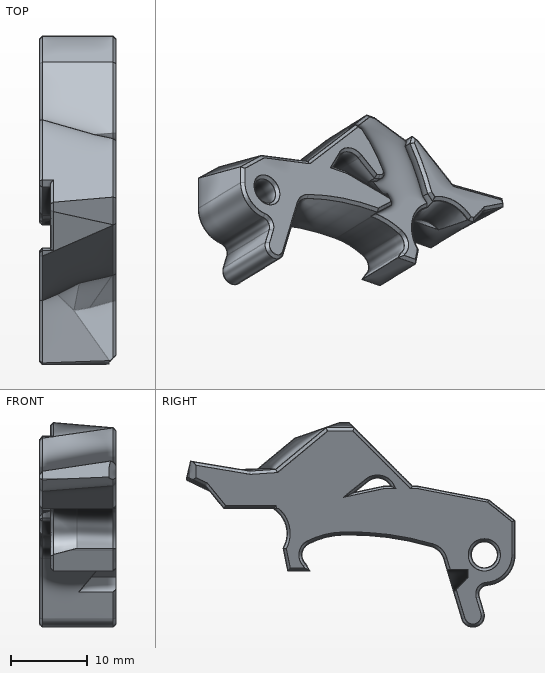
import cadquery as cq
import math

WIDTH = 10.0
STEP = 1.45
CHAMFER = 0.4
PIVOT_RADIUS = 1.7
BOSS_RADIUS = 4.0
TOP_Z = 17.25
CEILING_MARGIN = 5.0
REACH = 60.0

ARM_RISE = 0.23
ARM_HEIGHT = 4.95
ARM_BREAK_Y = 0.6
ARM_SLOPE = 0.194
TAIL_SLOPE = 0.8
SILL_HEIGHT = 6.88
SILL_RISE = 0.216
SILL_BREAK_Y = -13.17
SILL_FALL = 0.215
WINDOW_END_Y = -19.45
RAISED_WINDOW_END_Y = -20.4

TOE_Y, TOE_Z = -1.5, -7.93
TOE_RADIUS = 1.5
LEG_TILT = math.radians(16.7)
LEG_FILLET = 1.15
LEG_FRONT_TOP_Z = -0.5

BORE_Y, BORE_Z = -29.59, 2.79
BORE_RADIUS = 3.85
BORE_MOUTH_RADIUS = 4.8
BORE_DEPTH = 4.9
THUMB_FLOOR_Z = 6.02
HOOK_BOTTOM_Z = -2.12

THUMB_BACK_Y = -26.0
WEB_FRONT_Y = -33.0
REST_CORNER = (4.5, -31.8, 11.14)
REST_REAR = (WIDTH, -30.5, 10.9)
TIP_Y = -38.86
TIP_BREAK_Z = 9.94
TIP_LEAN = 0.23
TIP_CORNER = 0.9
TIP_TRIM_INSET = 0.35


def half_space(point, normal):
    """Large block filling the space behind the plane with the given outward normal."""
    along = normal.cross(cq.Vector(1, 0, 0))
    plane = cq.Plane(origin=point.toTuple(), xDir=along.toTuple(), normal=normal.toTuple())
    return cq.Workplane(plane).rect(2 * REACH, 2 * REACH).extrude(-REACH)


def panel(points, left_x, above=False):
    """Material bounded by the plane through three points, beveled at left_x and at WIDTH.

    The material lies below the plane, or above it when above is set.
    """
    a, b, c = (cq.Vector(*point) for point in points)
    normal = (b - a).cross(c - a).normalized()
    if (normal.z < 0) != above:
        normal = normal * -1
    trace = normal.cross(cq.Vector(1, 0, 0)).normalized()
    inward = cq.Vector(0, -normal.y, -normal.z).normalized()
    material = half_space(a, normal)
    for face_x, outward in ((left_x, -1), (WIDTH, 1)):
        run_to_face = face_x - a.x
        fall = -normal.x / normal.z
        on_face = a + cq.Vector(run_to_face, 0, run_to_face * fall)
        bevel_top = on_face + cq.Vector(1, 0, fall) * (-outward * CHAMFER)
        bevel_foot = on_face + inward * CHAMFER
        bevel_normal = trace.cross(bevel_foot - bevel_top)
        if bevel_normal.x * outward < 0:
            bevel_normal = bevel_normal * -1
        material = material.intersect(half_space(bevel_top, bevel_normal))
    return material


def below_all(left_x, *planes):
    """Convex region underneath every one of the given beveled panels."""
    region = panel(planes[0], left_x)
    for plane in planes[1:]:
        region = region.intersect(panel(plane, left_x))
    return region


def sheet(x=0.0):
    """YZ sketch plane at the given x, extruding toward +X."""
    return cq.Workplane("YZ", origin=(x, 0, 0))


def block(x_range, y_range, z_range):
    """Axis-aligned box from its three ranges."""
    size = [high - low for low, high in (x_range, y_range, z_range)]
    corner = (x_range[0], y_range[0], z_range[0])
    return cq.Workplane("XY").box(*size, centered=False).translate(corner)


def arm_point(x, y, slope):
    """Point on an arm roof panel that passes through the arm break line."""
    return (x, y, ARM_HEIGHT + ARM_RISE * x + slope * (ARM_BREAK_Y - y))


def sill_point(x, y, fall):
    """Point on a window sill panel that passes through the sill break line."""
    return (x, y, SILL_HEIGHT + SILL_RISE * x + fall * (y - SILL_BREAK_Y))


SILL_FLAT = [sill_point(0, 0, 0), sill_point(WIDTH, 0, 0), sill_point(0, -10, 0)]
SILL_INCLINE = [sill_point(x, y, SILL_FALL) for x, y in ((0, 0), (WIDTH, 0), (0, -10))]


def arm_roof(left_x):
    tail = [arm_point(x, y, TAIL_SLOPE) for x, y in ((0, 4), (WIDTH, 4), (0, 0))]
    top = [arm_point(x, y, ARM_SLOPE) for x, y in ((0, 0), (WIDTH, 0), (0, -10))]
    return below_all(left_x, tail, top, SILL_FLAT)


def hump_roof(left_x):
    rear_slope = [(0, -6.84, 6.42), (WIDTH, -6.84, 6.42), (0, -16.84, 16.42)]
    crest = [(1.85, -17.67, TOP_Z), (1.85, -18.9, TOP_Z), (WIDTH, -17.0, 16.55)]
    front_facet = [(1.85, -18.9, TOP_Z), (WIDTH, -20.7, 16.55), (1.45, -23.9, 15.5)]
    thumb_slope = [(0, -24.65, 15.36), (0, -29.56, 11.3), (WIDTH, -20.75, 16.42)]
    return below_all(left_x, rear_slope, crest, front_facet, thumb_slope)


def thumb_roof(left_x):
    left_top = [(0.4, -30.85, 10.46), (0.4, -38.5, 10.9), REST_CORNER]
    right_top = [REST_CORNER, REST_REAR, (9.1, -38.5, 12.25)]
    behind = block((-REACH, REACH), (THUMB_BACK_Y, REACH), (-REACH, REACH))
    return below_all(left_x, left_top, right_top).cut(behind)


def thumb_web(left_x):
    """Facets that fill the corner between the thumb slope and the thumb rest."""
    slope_left, slope_mid = (2.0, -29.85, 10.62), (5.2, -28.2, 11.28)
    slope_right = (9.5, -27.2, 11.16)
    rest_left, rest_mid, rest_right = REST_CORNER, (6.3, -31.95, 11.06), REST_REAR
    left = (slope_left, slope_mid, rest_left)
    middle = (slope_mid, slope_right, rest_left)
    right = (slope_right, rest_mid, rest_right)
    limits = block((0, WIDTH), (WEB_FRONT_Y, THUMB_BACK_Y), (0, REACH))
    return below_all(left_x, left, middle, right).intersect(limits)


def roof(left_x):
    region = hump_roof(left_x)
    for part_of_roof in (arm_roof, thumb_roof, thumb_web):
        region = region.union(part_of_roof(left_x))
    return region


def outline(left_x):
    ceiling = TOP_Z + CEILING_MARGIN
    down = cq.Vector(math.sin(LEG_TILT), -math.cos(LEG_TILT))
    back = cq.Vector(math.cos(LEG_TILT), math.sin(LEG_TILT))
    toe = cq.Vector(TOE_Y, TOE_Z)
    fillet_offset = toe.dot(back) + TOE_RADIUS + LEG_FILLET
    fillet_drop = math.sqrt((BOSS_RADIUS + LEG_FILLET) ** 2 - fillet_offset**2)
    fillet_center = back * fillet_offset + down * fillet_drop
    boss_end = fillet_center.normalized() * BOSS_RADIUS
    leg_back_top = fillet_center - back * LEG_FILLET
    leg_back_end = toe + back * TOE_RADIUS
    leg_front_end = toe - back * TOE_RADIUS
    leg_front_top = leg_front_end - down * ((LEG_FRONT_TOP_Z - leg_front_end.y) / math.cos(LEG_TILT))
    side = (
        sheet(left_x)
        .moveTo(BOSS_RADIUS, ceiling)
        .lineTo(BOSS_RADIUS, 0)
        .tangentArcPoint(boss_end.toTuple()[:2], relative=False)
        .tangentArcPoint(leg_back_top.toTuple()[:2], relative=False)
        .lineTo(leg_back_end.x, leg_back_end.y)
        .tangentArcPoint(leg_front_end.toTuple()[:2], relative=False)
        .lineTo(leg_front_top.x, leg_front_top.y)
        .tangentArcPoint((-6.85, 1.05), relative=False)
        .tangentArcPoint((-18.46, 2.58), relative=False)
        .tangentArcPoint((-22.9, 1.45), relative=False)
        .tangentArcPoint((-23.3, -1.2), relative=False)
        .lineTo(-22.75, HOOK_BOTTOM_Z)
        .lineTo(-25.64, HOOK_BOTTOM_Z)
        .lineTo(-26.21, 0.65)
        .lineTo(-27.5, THUMB_FLOOR_Z)
        .lineTo(TIP_Y, THUMB_FLOOR_Z)
        .lineTo(TIP_Y, TIP_BREAK_Z)
        .lineTo(TIP_Y + TIP_LEAN * (ceiling - TIP_BREAK_Z), ceiling)
        .close()
    )
    return side.extrude(WIDTH - left_x)


def thumb_underside(left_x):
    """Everything above the tip underside or behind the front face of the thumb."""
    tip_face = [(0, -35.76, 8.25), (WIDTH, -35.76, 8.73), (0, TIP_Y, 9.75)]
    front_face = [(0, -33.95, THUMB_FLOOR_Z), (WIDTH, -33.95, THUMB_FLOOR_Z), (0, -35.76, 8.25)]
    return panel(tip_face, left_x, above=True).union(panel(front_face, left_x, above=True))


def window_opening(end_y):
    """Window before the sill fills its lower part."""
    roof_y, roof_z = -15.2, 9.57
    roof_fall = 0.81
    end_z = roof_z + roof_fall * (end_y - roof_y)
    return (
        sheet()
        .moveTo(end_y, 4.0)
        .lineTo(end_y, end_z)
        .lineTo(roof_y, roof_z)
        .tangentArcPoint((-12.1, 8.8), relative=False)
        .lineTo(-10.0, 5.0)
        .close()
        .extrude(WIDTH)
    )


def window_sill(left_x, end_y):
    """Fill of the lower window, reaching past its beveled rim into the surrounding solid."""
    rear_y, bottom_z = -9.0, 3.4
    limits = block((left_x, WIDTH), (end_y - 2 * CHAMFER, rear_y), (bottom_z, TOP_Z))
    return below_all(left_x, SILL_FLAT, SILL_INCLINE).intersect(limits)


def cone_along_x(start_x, start_radius, end_x, end_radius, y=0.0, z=0.0):
    base = cq.Vector(start_x, y, z)
    axis = cq.Vector(1, 0, 0)
    return cq.Workplane(cq.Solid.makeCone(start_radius, end_radius, end_x - start_x, base, axis))


def pivot_hole(left_x):
    """Through hole with a countersunk rim on both sides."""
    wide = PIVOT_RADIUS + CHAMFER
    hole = sheet().circle(PIVOT_RADIUS).extrude(WIDTH)
    hole = hole.union(cone_along_x(left_x, wide, left_x + CHAMFER, PIVOT_RADIUS))
    return hole.union(cone_along_x(WIDTH - CHAMFER, PIVOT_RADIUS, WIDTH, wide))


def finger_bore(left_x):
    """Round finger recess under the thumb floor, with a conical mouth and beveled rims."""
    bevel_x = WIDTH - CHAMFER
    bore = cone_along_x(bevel_x, BORE_RADIUS, WIDTH, BORE_RADIUS + CHAMFER, BORE_Y, BORE_Z)
    bore = bore.union(sheet().center(BORE_Y, BORE_Z).circle(BORE_RADIUS).extrude(WIDTH))
    bore = bore.intersect(block((0, WIDTH), (-REACH, REACH), (-REACH, THUMB_FLOOR_Z)))
    taper = (BORE_MOUTH_RADIUS - BORE_RADIUS) / BORE_DEPTH
    rim_radius = BORE_MOUTH_RADIUS - taper * left_x + CHAMFER
    mouth = cone_along_x(0, BORE_MOUTH_RADIUS, BORE_DEPTH, BORE_RADIUS, BORE_Y, BORE_Z)
    rim = cone_along_x(left_x, rim_radius, left_x + CHAMFER, rim_radius - CHAMFER, BORE_Y, BORE_Z)
    return bore.union(mouth).union(rim)


def tip_corner():
    """Diagonal trim of the +X corner of the thumb tip."""
    start_x, start_y = WIDTH - TIP_CORNER, TIP_Y + TIP_TRIM_INSET
    end_y = start_y + TIP_CORNER
    return (
        cq.Workplane("XY")
        .polyline([(start_x, -REACH), (start_x, start_y), (WIDTH, end_y), (WIDTH, -REACH)])
        .close()
        .extrude(REACH)
    )


def leg_notch():
    """Wedge notch in the upper front of the leg, open to +X and narrowing upward."""
    low_z, floor_top_z, roof_z = -4.9, -2.9, -1.9
    front_y, floor_foot_y, back_y = -5.5, -4.05, -2.1
    wedge = (
        sheet()
        .moveTo(floor_foot_y, low_z)
        .lineTo(back_y, floor_top_z)
        .lineTo(back_y, roof_z)
        .lineTo(front_y, roof_z)
        .lineTo(front_y, low_z)
        .close()
        .extrude(WIDTH)
    )
    left_wall_foot, left_wall_head = 5.1, 7.6
    keep = (
        cq.Workplane("XZ")
        .polyline([(left_wall_foot, low_z), (WIDTH, low_z), (WIDTH, roof_z), (left_wall_head, roof_z)])
        .close()
        .extrude(REACH, both=True)
    )
    return wedge.intersect(keep)


def beveled_body(left_x, window_end_y):
    """Whole part between left_x and WIDTH, with its outer edges beveled."""
    body = outline(left_x).faces("<X or >X").chamfer(CHAMFER)
    body = body.cut(window_opening(window_end_y))
    for side in ("<X", ">X"):
        rim = body.faces(side).val().innerWires()[0]
        body = body.newObject(rim.Edges()).chamfer(CHAMFER)
    body = body.cut(pivot_hole(left_x))
    body = body.union(window_sill(left_x, window_end_y))
    body = body.intersect(roof(left_x))
    body = body.intersect(thumb_underside(left_x))
    return body.cut(finger_bore(left_x))


def raised_finger_region():
    """Upper part of the raised rear area, ending in a finger above the window."""
    seam_z = 6.9
    return (
        sheet()
        .moveTo(REACH, TOP_Z)
        .lineTo(-14.2, TOP_Z)
        .lineTo(-14.2, 14.45)
        .lineTo(-15.7, 14.1)
        .threePointArc((-17.9, 11.4), (-19.3, 8.95))
        .tangentArcPoint((-18.5, 7.6), relative=False)
        .lineTo(-16.0, seam_z)
        .lineTo(REACH, seam_z)
        .close()
        .extrude(WIDTH / 2)
    )


def raised_arm_region():
    """Lower part of the raised rear area; it overlaps the finger region behind the window."""
    overlap_y = -12.5
    return (
        sheet()
        .moveTo(REACH, TOP_Z)
        .lineTo(overlap_y, TOP_Z)
        .lineTo(overlap_y, 8.0)
        .lineTo(-20.0, 5.75)
        .lineTo(-20.66, 4.78)
        .lineTo(-20.66, 4.4)
        .lineTo(-18.1, 2.4)
        .lineTo(-18.0, -REACH)
        .lineTo(REACH, -REACH)
        .close()
        .extrude(WIDTH / 2)
    )


def raised_thumb_region():
    return (
        sheet()
        .moveTo(-24.5, TOP_Z)
        .lineTo(-23.63, 14.33)
        .threePointArc((-25.25, 11.2), (-26.52, 7.88))
        .lineTo(-27.6, 6.7)
        .lineTo(BORE_Y, BORE_Z)
        .lineTo(-REACH, BORE_Z)
        .lineTo(-REACH, TOP_Z)
        .close()
        .extrude(WIDTH / 2)
    )


def build():
    part = beveled_body(STEP, WINDOW_END_Y)
    full_depth = beveled_body(0, RAISED_WINDOW_END_Y)
    for region in (raised_finger_region(), raised_arm_region(), raised_thumb_region()):
        part = part.union(full_depth.intersect(region.faces("<X").chamfer(CHAMFER)))
    return part.cut(leg_notch()).cut(tip_corner())


result = build()